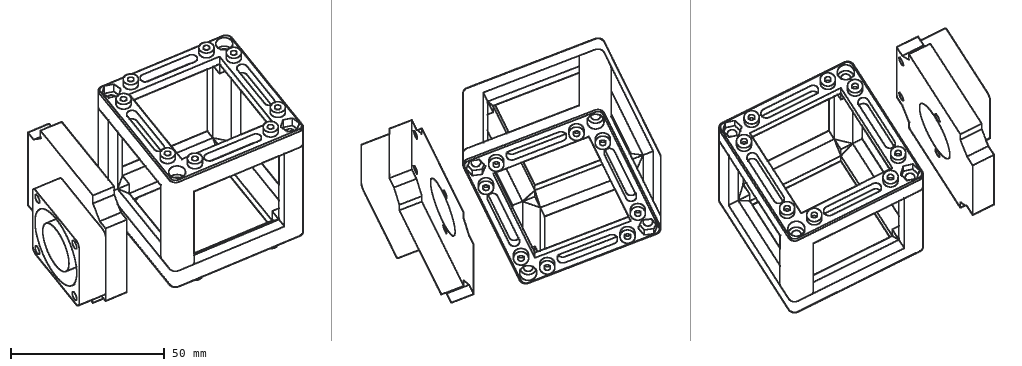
import cadquery as cq
import math

CUBE = 50.0
BAR = 8.0
OPENING = CUBE - 2 * BAR
BAR_CHAMFER = 4.4
POST_RADIUS = 2.25
RIM_CHAMFER = 0.5

BOLT_OFFSET = 21.25
BOLT_DIAMETER = 3.1
HEAD_DIAMETER = 5.5
HEAD_DEPTH = 4.0
NUT_FLATS = 5.5
NUT_DEPTH = 3.5
NUT_TURN = 15.0

STUD_DIAMETER = 4.95
STUD_HEIGHT = 2.25
STUD_BORE = 2.05
STUD_SPACING = 28.5
STUD_OFFSET = 20.75
SLOT_LENGTH = 21.0
SLOT_WIDTH = 3.5
SLOT_DEPTH = 4.0

PLATE = 50.33
PLATE_THICKNESS = 8.0
OVERALL_DEPTH = 85.36
PLATE_HOLE = 20.0
PLATE_X = (CUBE - PLATE) / 2
PLATE_Z = 0.05

FAN = 30.0
FAN_THICKNESS = 10.0
FAN_RADIUS = 2.0
FAN_BORE = 27.0
HUB_DIAMETER = 17.0
SCREW_SPACING = 24.0
SCREW_DIAMETER = 2.9
FAN_X = (CUBE - FAN) / 2
FAN_Z = 0.0

FAN_FRONT_Y = CUBE / 2 - OVERALL_DEPTH
PLATE_FRONT_Y = FAN_FRONT_Y + FAN_THICKNESS

TOP_Z = CUBE / 2
WINDOW_Z = OPENING / 2

POST_CORNERS = [(-1, 1), (1, -1)]
NUT_CORNERS = [(-1, -1), (1, 1)]


def bolt_points(corners):
    return [(sx * BOLT_OFFSET, sy * BOLT_OFFSET) for sx, sy in corners]


def bar_bevel(turn):
    """Wedge that bevels the inner lower edge of one bar, between the corner blocks."""
    wedge = (
        cq.Workplane("YZ", origin=(-OPENING / 2, 0, 0))
        .moveTo(OPENING / 2, WINDOW_Z)
        .lineTo(OPENING / 2 + BAR_CHAMFER, WINDOW_Z)
        .lineTo(OPENING / 2, WINDOW_Z + BAR_CHAMFER)
        .close()
        .extrude(OPENING)
    )
    return wedge.rotate((0, 0, 0), (0, 0, 1), turn)


def post(sx, sy):
    """Corner post, reaching from the ring down to the corner block of the other half."""
    outer = CUBE / 2
    inner = OPENING / 2
    bevel = inner + BAR_CHAMFER
    return (
        cq.Workplane("XY", origin=(0, 0, -WINDOW_Z))
        .moveTo(sx * outer, sy * outer)
        .lineTo(sx * outer, sy * inner)
        .lineTo(sx * bevel, sy * inner)
        .lineTo(sx * inner, sy * bevel)
        .lineTo(sx * inner, sy * outer)
        .close()
        .extrude(2 * WINDOW_Z)
    )


def rounded_cube():
    """Outer envelope of the frame: rounded uprights, bevelled top and bottom rims."""
    return (
        cq.Workplane("XY")
        .box(CUBE, CUBE, CUBE)
        .edges("|Z")
        .fillet(POST_RADIUS)
        .faces("<Z or >Z")
        .chamfer(RIM_CHAMFER)
    )


def upper_half():
    ring = (
        cq.Workplane("XY", origin=(0, 0, WINDOW_Z))
        .rect(CUBE, CUBE)
        .rect(OPENING, OPENING)
        .extrude(BAR)
    )
    side_turns = [0, 90, 180, 270]
    half = ring
    for turn in side_turns:
        half = half.cut(bar_bevel(turn))
    for sx, sy in POST_CORNERS:
        half = half.union(post(sx, sy))
    half = half.intersect(rounded_cube())

    outer_face = cq.Workplane("XY", origin=(0, 0, TOP_Z))
    bolts = outer_face.pushPoints(bolt_points(POST_CORNERS + NUT_CORNERS))
    half = half.cut(bolts.circle(BOLT_DIAMETER / 2).extrude(-CUBE))
    heads = outer_face.pushPoints(bolt_points(POST_CORNERS))
    half = half.cut(heads.circle(HEAD_DIAMETER / 2).extrude(-HEAD_DEPTH))
    nut_across_corners = NUT_FLATS / math.cos(math.pi / 6)
    for x, y in bolt_points(NUT_CORNERS):
        nut = cq.Workplane("XY").polygon(6, nut_across_corners).extrude(-NUT_DEPTH)
        nut = nut.rotate((0, 0, 0), (0, 0, 1), NUT_TURN)
        half = half.cut(nut.translate((x, y, TOP_Z)))

    slot = outer_face.center(0, STUD_OFFSET).slot2D(SLOT_LENGTH, SLOT_WIDTH).extrude(-SLOT_DEPTH)
    studs = (
        outer_face.center(0, STUD_OFFSET)
        .pushPoints([(-STUD_SPACING / 2, 0), (STUD_SPACING / 2, 0)])
        .circle(STUD_DIAMETER / 2)
        .circle(STUD_BORE / 2)
        .extrude(STUD_HEIGHT)
    )
    for turn in side_turns:
        half = half.cut(slot.rotate((0, 0, 0), (0, 0, 1), turn))
        half = half.union(studs.rotate((0, 0, 0), (0, 0, 1), turn))
    return half


def lower_half():
    """The same half turned over, so that its posts fill the two free corners."""
    return upper_half().rotate((0, 0, 0), (1, 0, 0), 180)


def fan_plane(y):
    """Plane facing -Y at depth y, centred on the fan axis."""
    return cq.Workplane("XZ", origin=(FAN_X, y, FAN_Z))


def screw_holes(y, depth):
    """Four fan screw holes that start at depth y and run towards +Y."""
    return (
        fan_plane(y)
        .rect(SCREW_SPACING, SCREW_SPACING, forConstruction=True)
        .vertices()
        .circle(SCREW_DIAMETER / 2)
        .extrude(-depth)
    )


def insert_plate():
    """Square plate whose corners clear the bevelled bars of the cube frame."""
    half = PLATE / 2
    shoulder = OPENING / 2
    bevel = shoulder + BAR_CHAMFER
    outline = []
    for quarter in range(4):
        angle = quarter * math.pi / 2
        cosine = round(math.cos(angle))
        sine = round(math.sin(angle))
        for x, y in [(half, shoulder), (bevel, shoulder), (shoulder, bevel), (shoulder, half)]:
            outline.append((x * cosine - y * sine, x * sine + y * cosine))
    front_face = cq.Workplane("XZ", origin=(PLATE_X, PLATE_FRONT_Y, PLATE_Z))
    plate = front_face.polyline(outline).close().extrude(-PLATE_THICKNESS)
    window = front_face.circle(PLATE_HOLE / 2).extrude(-PLATE_THICKNESS)
    return plate.cut(window).cut(screw_holes(PLATE_FRONT_Y, PLATE_THICKNESS))


def fan_housing():
    housing = (
        fan_plane(FAN_FRONT_Y)
        .rect(FAN, FAN)
        .extrude(-FAN_THICKNESS)
        .edges("|Y")
        .fillet(FAN_RADIUS)
    )
    bore = fan_plane(FAN_FRONT_Y).circle(FAN_BORE / 2).extrude(-FAN_THICKNESS)
    return housing.cut(bore).cut(screw_holes(FAN_FRONT_Y, FAN_THICKNESS))


def fan_hub():
    return fan_plane(FAN_FRONT_Y).circle(HUB_DIAMETER / 2).extrude(-FAN_THICKNESS)


result = cq.Compound.makeCompound([
    upper_half().val(),
    lower_half().val(),
    insert_plate().val(),
    fan_housing().val(),
    fan_hub().val(),
])